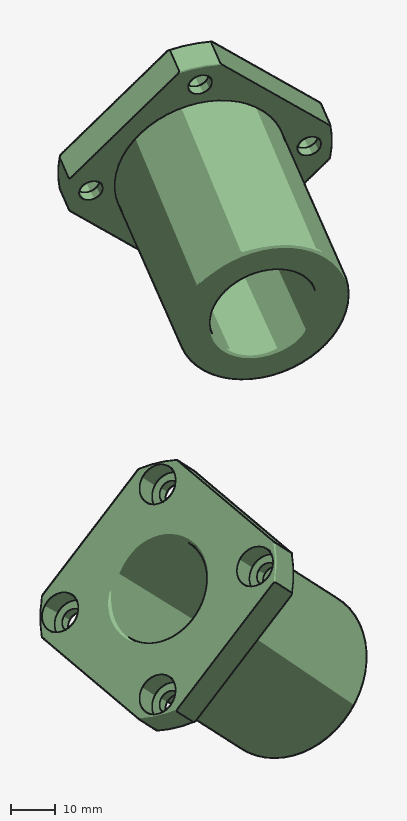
import cadquery as cq

total_length = 58.0
flange_diameter = 61.9
flange_thickness = 8.0
flange_square_side = 50.05
flange_rim_fillet = 0.5
body_diameter = 40.0
body_end_fillet = 1.0
bore_diameter = 25.0
bore_mouth_fillet = 1.0
screw_circle_diameter = 51.0
screw_hole_diameter = 5.5
counterbore_diameter = 9.5
counterbore_depth = 5.4
screw_count = 4


def make_flange():
    """Round-edged disc cut down to a square standing on one corner."""
    disc = (
        cq.Workplane("YZ")
        .circle(flange_diameter / 2)
        .extrude(flange_thickness)
        .edges()
        .fillet(flange_rim_fillet)
    )
    square = (
        cq.Workplane("YZ")
        .rect(flange_square_side, flange_square_side)
        .extrude(flange_thickness)
        .rotate((0, 0, 0), (1, 0, 0), 45)
    )
    return disc.intersect(square)


def make_body():
    """Cylinder reaching from the flange face to the rounded far end."""
    return (
        cq.Workplane("YZ")
        .circle(body_diameter / 2)
        .extrude(total_length)
        .faces(">X")
        .fillet(body_end_fillet)
    )


def make_bore():
    """Through bore with rounded mouths at both ends."""
    radius = bore_diameter / 2
    mouth_radius = radius + bore_mouth_fillet
    diagonal = bore_mouth_fillet * (1 - 0.5**0.5)
    return (
        cq.Workplane("XY")
        .lineTo(0, mouth_radius)
        .threePointArc((diagonal, radius + diagonal), (bore_mouth_fillet, radius))
        .lineTo(total_length - bore_mouth_fillet, radius)
        .threePointArc((total_length - diagonal, radius + diagonal), (total_length, mouth_radius))
        .lineTo(total_length, 0)
        .close()
        .revolve(360, (0, 0, 0), (1, 0, 0))
    )


def make_screw_holes():
    """Counterbored holes, one near each corner, sunk from the flange face."""
    def pattern():
        return cq.Workplane("YZ").polarArray(screw_circle_diameter / 2, 0, 360, screw_count)

    through_holes = pattern().circle(screw_hole_diameter / 2).extrude(flange_thickness)
    counterbores = pattern().circle(counterbore_diameter / 2).extrude(counterbore_depth)
    return through_holes.union(counterbores)


result = make_flange().union(make_body()).cut(make_bore()).cut(make_screw_holes())